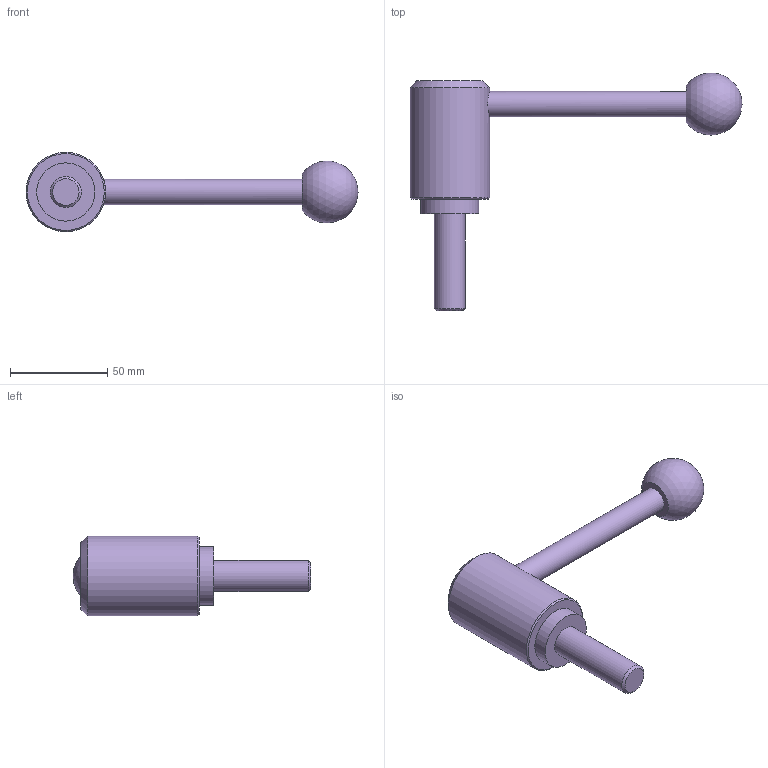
import cadquery as cq
import math


stud_diameter = 16.0
stud_length = 50.0
stud_chamfer = 1.2

collar_diameter = 30.0
collar_length = 7.5

hub_diameter = 41.0
hub_length = 61.0
hub_back_chamfer = 3.5
hub_front_chamfer = 0.7

arm_diameter = 13.0
arm_setback = 12.0
ball_diameter = 32.0
ball_flat_offset = 12.8
overall_length = 171.0

hub_front_y = collar_length
hub_back_y = hub_front_y + hub_length
arm_y = hub_back_y - arm_setback
ball_x = overall_length - (hub_diameter + ball_diameter) / 2


def cylinder_along_y(diameter, start_y, length):
    """Cylinder on the hub axis, from start_y towards +Y."""
    plane = cq.Workplane("XZ", origin=(0, start_y, 0))
    return plane.circle(diameter / 2).extrude(-length)


def make_stud():
    stud = cylinder_along_y(stud_diameter, -stud_length, stud_length)
    return stud.faces("<Y").chamfer(stud_chamfer)


def make_collar():
    return cylinder_along_y(collar_diameter, 0, collar_length)


def make_hub():
    hub = cylinder_along_y(hub_diameter, hub_front_y, hub_length)
    hub = hub.faces(">Y").chamfer(hub_back_chamfer)
    return hub.faces("<Y").chamfer(hub_front_chamfer)


def make_arm():
    """Round bar from the hub axis to the centre of the ball."""
    return cq.Workplane("YZ", origin=(0, arm_y, 0)).circle(arm_diameter / 2).extrude(ball_x)


def make_ball():
    """Ball turned about the arm axis, cut flat on the side where the arm enters."""
    radius = ball_diameter / 2
    flat_radius = math.sqrt(radius**2 - ball_flat_offset**2)
    profile = (
        cq.Workplane("XY", origin=(ball_x, arm_y, 0))
        .moveTo(-ball_flat_offset, 0)
        .lineTo(-ball_flat_offset, flat_radius)
        .threePointArc((0, radius), (radius, 0))
        .close()
    )
    return profile.revolve(axisStart=(0, 0, 0), axisEnd=(1, 0, 0))


result = make_stud().union(make_collar()).union(make_hub()).union(make_arm()).union(make_ball())